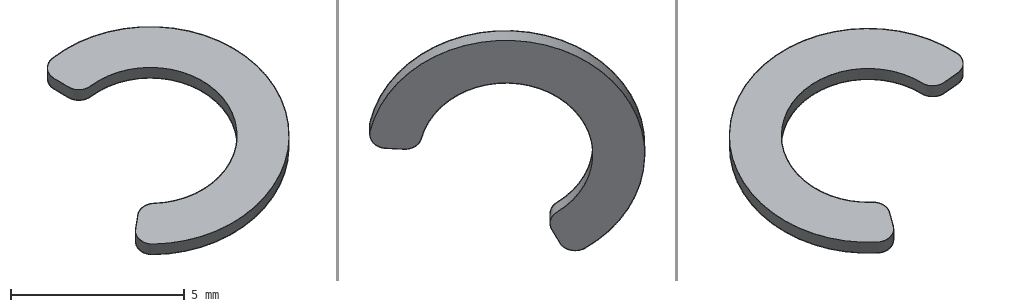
import cadquery as cq
import math

outer_diameter = 8.0
inner_diameter = 5.0
thickness = 0.5
mouth_angle = 120.0
corner_radius = 0.5

outer_radius = outer_diameter / 2
inner_radius = inner_diameter / 2
end_angle = mouth_angle / 2 - 90


def polar_point(radius, angle):
    """Point at a radius and an angle in degrees from +X."""
    radians = math.radians(angle)
    return (radius * math.cos(radians), radius * math.sin(radians))


def ring_sector():
    """C-shaped plate with sharp corners and radial end faces."""
    left_end_angle = 180 - end_angle
    return (
        cq.Workplane("XY")
        .moveTo(*polar_point(outer_radius, end_angle))
        .threePointArc((0, outer_radius), polar_point(outer_radius, left_end_angle))
        .lineTo(*polar_point(inner_radius, left_end_angle))
        .threePointArc((0, inner_radius), polar_point(inner_radius, end_angle))
        .close()
        .extrude(thickness)
    )


result = ring_sector().edges("|Z").fillet(corner_radius)